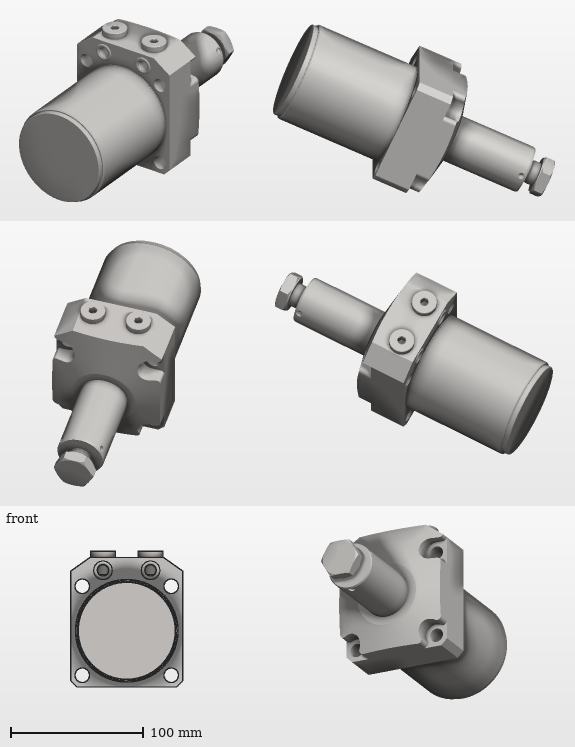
import cadquery as cq
import math


drill_point_angle = 118.0

block_half_width = 42.5
block_top = 55.5
block_bottom = -block_half_width
block_front = 44.8
shoulder_half_width = 28.0
shoulder_height = 45.0
bottom_chamfer = 4.9
cone_face_radius = 24.7
cone_angle = 15.0

bolt_offset = 33.6
bolt_hole_diameter = 10.8
pocket_radius = 8.9
pocket_floor = 28.0
mouth_radius = 3.2

shoulder_ring_radius = 39.0
shoulder_ring_length = 0.6
barrel_radius = 38.7
barrel_chamfer = 0.8
barrel_end = -85.7
cap_radius = 37.0
cap_length = 4.0
cap_chamfer = 0.5

rod_radius = 18.5
rod_end = 107.9
rod_chamfer_length = 1.5
rod_chamfer_depth = 0.6
spanner_hole_count = 3
spanner_hole_angle = 30.0
spanner_hole_radius = 2.5
spanner_hole_depth = 1.3
spanner_hole_place = 104.0
stem_radius = 8.0
stem_flare = 0.6
collar_diameter = 18.5
collar_start = 110.8
head_start = 116.5
head_end = 125.8
head_washer_length = 0.6
head_across_flats = 27.5
head_chamfer_angle = 30.0

port_offset = 18.0
rear_port_height = 45.7
rear_port_diameter = 8.2
ring_major_radius = 5.7
ring_minor_radius = 1.7
ring_depth = 1.0
top_port_place = 14.8
spotface_radius = 10.5
spotface_depth = 0.1

plug_head_radius = 9.5
plug_chamfer = 0.5
plug_top = 60.5
plug_shank_radius = 5.7
plug_shank_end = 42.7
socket_across_flats = 6.0
socket_turn = 30.0
socket_depth = 6.3
countersink_diameter = 7.0

head_corner_radius = head_across_flats / math.sqrt(3)
port_sides = (-1, 1)


def revolved(points):
    """Solid turned about the Y axis from (radius, y) points."""
    return cq.Workplane("XY").polyline(points).close().revolve(360, (0, 0, 0), (0, 1, 0))


def cylinder_along_y(x, z, radius, start, end):
    return cq.Workplane("XZ", origin=(x, start, z)).circle(radius).extrude(start - end)


def cylinder_along_z(x, y, radius, start, end):
    return cq.Workplane("XY", origin=(x, y, start)).circle(radius).extrude(end - start)


def drill_point_depth(radius):
    return radius / math.tan(math.radians(drill_point_angle / 2))


def make_block():
    """Eight-sided flange block whose front face is turned to a flat cone."""
    corner = block_half_width - bottom_chamfer
    right_side = [
        (corner, block_bottom),
        (block_half_width, block_bottom + bottom_chamfer),
        (block_half_width, shoulder_height),
        (shoulder_half_width, block_top),
    ]
    left_side = [(-x, z) for x, z in reversed(right_side)]
    block = (
        cq.Workplane("XZ")
        .polyline(right_side + left_side)
        .close()
        .extrude(-block_front)
    )
    reach = block_half_width + block_top
    cone_drop = (reach - cone_face_radius) * math.tan(math.radians(cone_angle))
    cone = revolved([
        (0, 0),
        (reach, 0),
        (reach, block_front - cone_drop),
        (cone_face_radius, block_front),
        (0, block_front),
    ])
    return block.intersect(cone)


def upper_pocket():
    """Slot from the upper bolt hole on the +X side out through the side face, with a flared mouth."""
    x = bolt_offset
    z = bolt_offset
    r = pocket_radius
    mouth = mouth_radius
    bend = mouth * math.sqrt(0.5)
    side = block_half_width
    outside = side + mouth
    return (
        cq.Workplane("XZ", origin=(0, pocket_floor, 0))
        .moveTo(outside, z + r + mouth)
        .lineTo(side, z + r + mouth)
        .threePointArc((side - mouth + bend, z + r + mouth - bend), (side - mouth, z + r))
        .lineTo(x, z + r)
        .threePointArc((x - r, z), (x, z - r))
        .lineTo(side - mouth, z - r)
        .threePointArc((side - mouth + bend, z - r - mouth + bend), (side, z - r - mouth))
        .lineTo(outside, z - r - mouth)
        .close()
        .extrude(pocket_floor - block_front)
    )


def lower_pocket():
    """Round pocket at the lower +X bolt hole, open through the corner, flared where it breaks out."""
    r = pocket_radius
    mouth = mouth_radius
    side = block_half_width - bolt_offset
    outside = side + mouth
    run = side - mouth
    rise = math.sqrt((r + mouth) ** 2 - run ** 2)
    full_turn = math.atan2(rise, run) - math.pi

    def mouth_point(turn):
        return run + mouth * math.cos(turn), rise + mouth * math.sin(turn)

    def mirrored(point):
        """The same place on the bottom mouth, across the diagonal of the corner."""
        return -point[1], -point[0]

    start = mouth_point(0)
    middle = mouth_point(full_turn / 2)
    touch = mouth_point(full_turn)
    deepest = (-r * math.sqrt(0.5), r * math.sqrt(0.5))
    return (
        cq.Workplane("XZ", origin=(bolt_offset, pocket_floor, -bolt_offset))
        .moveTo(outside, rise)
        .lineTo(*start)
        .threePointArc(middle, touch)
        .threePointArc(deepest, mirrored(touch))
        .threePointArc(mirrored(middle), mirrored(start))
        .lineTo(-rise, -outside)
        .lineTo(outside, -outside)
        .close()
        .extrude(pocket_floor - block_front)
    )


def cut_bolt_seats(body):
    """Four mounting holes and the four pockets in front of them."""
    for pocket in (upper_pocket(), lower_pocket()):
        body = body.cut(pocket).cut(pocket.mirror("YZ"))
    for x in (-bolt_offset, bolt_offset):
        for z in (-bolt_offset, bolt_offset):
            body = body.cut(cylinder_along_y(x, z, bolt_hole_diameter / 2, 0, block_front))
    return body


def make_barrel():
    """Barrel with its shoulder ring and the stepped end cap."""
    cap_start = barrel_end + cap_length
    return revolved([
        (0, 0),
        (shoulder_ring_radius, 0),
        (shoulder_ring_radius, -shoulder_ring_length),
        (barrel_radius, -shoulder_ring_length),
        (barrel_radius, cap_start + barrel_chamfer),
        (barrel_radius - barrel_chamfer, cap_start),
        (cap_radius, cap_start),
        (cap_radius, barrel_end + cap_chamfer),
        (cap_radius - cap_chamfer, barrel_end),
        (0, barrel_end),
    ])


def make_rod():
    """Piston rod with radial spanner holes near its end."""
    rod = revolved([
        (0, 0),
        (rod_radius, 0),
        (rod_radius, rod_end - rod_chamfer_length),
        (rod_radius - rod_chamfer_depth, rod_end),
        (0, rod_end),
    ])
    hole_floor = rod_radius - spanner_hole_depth
    hole_point_depth = drill_point_depth(spanner_hole_radius)
    spanner_hole = cq.Workplane("XY").polyline([
        (hole_floor - hole_point_depth, spanner_hole_place),
        (hole_floor, spanner_hole_place + spanner_hole_radius),
        (rod_radius + spanner_hole_depth, spanner_hole_place + spanner_hole_radius),
        (rod_radius + spanner_hole_depth, spanner_hole_place),
    ]).close().revolve(360, (0, spanner_hole_place, 0), (1, spanner_hole_place, 0))
    for index in range(spanner_hole_count):
        angle = spanner_hole_angle + index * 360 / spanner_hole_count
        rod = rod.cut(spanner_hole.rotate((0, 0, 0), (0, 1, 0), -angle))
    return rod


def make_screw():
    """Pressure screw: stem, collar and hexagon head with both ends chamfered."""
    collar_radius = collar_diameter / 2
    collar_chamfer = collar_radius - stem_radius
    shank = revolved([
        (0, rod_end),
        (stem_radius + stem_flare, rod_end),
        (stem_radius, rod_end + stem_flare),
        (stem_radius, collar_start - collar_chamfer),
        (collar_radius, collar_start),
        (collar_radius, head_start),
        (0, head_start),
    ])
    hexagon = (
        cq.Workplane("XZ", origin=(0, head_start, 0))
        .polygon(6, 2 * head_corner_radius)
        .extrude(head_start - head_end)
    )
    face_radius = head_across_flats / 2
    hexagon_start = head_start + head_washer_length
    drop = (head_corner_radius - face_radius) * math.tan(math.radians(head_chamfer_angle))
    envelope = revolved([
        (0, head_start),
        (face_radius, head_start),
        (face_radius, hexagon_start),
        (head_corner_radius, hexagon_start + drop),
        (head_corner_radius, head_end - drop),
        (face_radius, head_end),
        (0, head_end),
    ])
    return shank.union(hexagon.intersect(envelope))


def add_ports(body, side):
    """Rear port with its sealing ring, and the top port that takes a plug."""
    x = side * port_offset
    ring = cq.Workplane(cq.Solid.makeTorus(
        ring_major_radius,
        ring_minor_radius,
        cq.Vector(x, ring_depth, rear_port_height),
        cq.Vector(0, 1, 0),
    ))
    spotface_floor = block_top - spotface_depth
    return (
        body.union(ring)
        .cut(cylinder_along_y(x, rear_port_height, rear_port_diameter / 2, 0, top_port_place))
        .cut(cylinder_along_z(x, top_port_place, plug_shank_radius, plug_shank_end, block_top))
        .cut(cylinder_along_z(x, top_port_place, spotface_radius, spotface_floor, plug_top))
    )


def make_cylinder():
    """Flange block, barrel, rod and pressure screw as one solid."""
    body = cut_bolt_seats(make_block())
    for side in port_sides:
        body = add_ports(body, side)
    return body.union(make_barrel()).union(make_rod()).union(make_screw())


def make_plug(side):
    """Screw plug with a hexagon socket that ends in a drill point."""
    x = side * port_offset
    head_floor = block_top - spotface_depth
    head = cylinder_along_z(x, top_port_place, plug_head_radius, head_floor, plug_top)
    head = head.faces(">Z").chamfer(plug_chamfer)
    shank = cylinder_along_z(x, top_port_place, plug_shank_radius, plug_shank_end, head_floor)
    socket_floor = plug_top - socket_depth
    socket = (
        cq.Workplane("XY", origin=(x, top_port_place, socket_floor))
        .polygon(6, 2 * socket_across_flats / math.sqrt(3))
        .extrude(socket_depth)
        .rotate((x, top_port_place, 0), (x, top_port_place, 1), socket_turn)
    )
    point_radius = socket_across_flats / 2
    point_depth = drill_point_depth(point_radius)
    drill_point = cq.Workplane(cq.Solid.makeCone(
        point_radius,
        0,
        point_depth,
        cq.Vector(x, top_port_place, socket_floor),
        cq.Vector(0, 0, -1),
    ))
    countersink_radius = countersink_diameter / 2
    countersink = cq.Workplane(cq.Solid.makeCone(
        countersink_radius,
        point_radius,
        countersink_radius - point_radius,
        cq.Vector(x, top_port_place, plug_top),
        cq.Vector(0, 0, -1),
    ))
    return head.union(shank).cut(socket).cut(drill_point).cut(countersink)


cylinder = make_cylinder()
plugs = [make_plug(side) for side in port_sides]

result = cq.Compound.makeCompound([cylinder.val(), *[plug.val() for plug in plugs]])